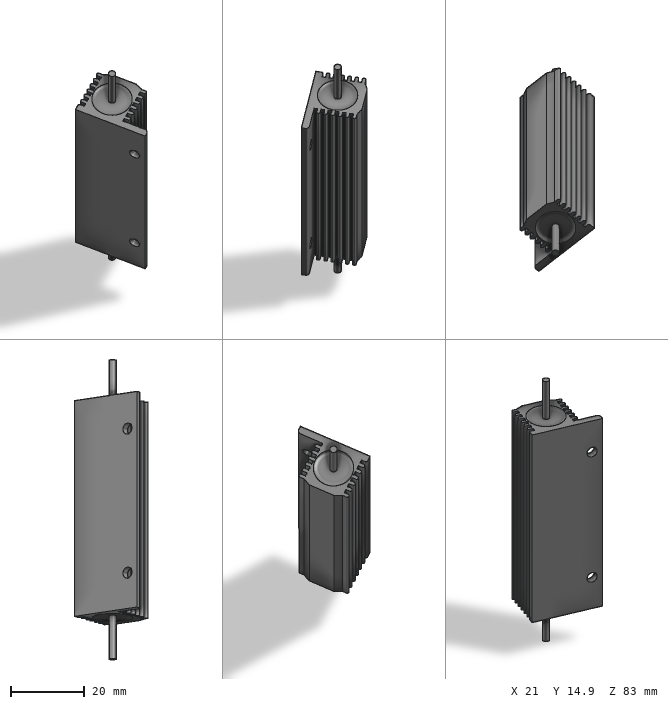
import cadquery as cq
import math

total_length = 83.0
lead_length = 11.5
body_length = total_length - 2 * lead_length
body_width = 14.9
body_depth = 14.9
flange_width = 21.0
flange_thickness = 2.1
left_side = -body_width / 2
mounting_face = -body_depth / 2
back_face = body_depth / 2

core_width = 11.7
fin_pitch = 2.0
fin_thickness = 1.0
fins_below_axis = 2
fins_above_axis = 3
back_flat_width = 7.5
flange_outer_radius = 1.0
flange_inner_radius = 0.5

lead_diameter = 2.0
recess_diameter = 10.95
recess_floor_diameter = 8.3
recess_depth = 0.5
hole_diameter = 3.0
hole_spacing = 40.0
hole_from_left = 17.85


def make_core():
    """Central bar with both back corners sloping down to the top fins."""
    shoulder = fins_above_axis * fin_pitch + fin_thickness / 2
    half_core = core_width / 2
    half_flat = back_flat_width / 2
    outline = [
        (-half_core, mounting_face),
        (half_core, mounting_face),
        (half_core, shoulder),
        (half_flat, back_face),
        (-half_flat, back_face),
        (-half_core, shoulder),
    ]
    core = cq.Workplane("XY").polyline(outline).close()
    return core.extrude(body_length / 2, both=True)


def make_fins():
    """Rows of fins crossing the core, each with fully rounded tips."""
    rows = range(-fins_below_axis, fins_above_axis + 1)
    return (
        cq.Workplane("XY")
        .pushPoints([(0, row * fin_pitch) for row in rows])
        .slot2D(body_width, fin_thickness)
        .extrude(body_length / 2, both=True)
    )


def make_flange():
    """Mounting flange, extended on +X, with rounded edges away from its mounting face."""
    flange = (
        cq.Workplane("XY")
        .box(flange_width, flange_thickness, body_length, centered=(False, False, True))
        .translate((left_side, mounting_face, 0))
    )
    flange = flange.edges("|Z and >X and >Y").fillet(flange_outer_radius)
    return flange.edges("|Z and <X and >Y").fillet(flange_inner_radius)


def make_recess():
    """Shallow dish in the +Z end whose curved wall runs tangent into the flat floor."""
    rim_radius = recess_diameter / 2
    floor_radius = recess_floor_diameter / 2
    end_height = body_length / 2
    floor_height = end_height - recess_depth
    wall_width = rim_radius - floor_radius
    wall_radius = (wall_width**2 + recess_depth**2) / (2 * recess_depth)
    half_sweep = math.asin(wall_width / wall_radius) / 2
    wall_middle = (
        floor_radius + wall_radius * math.sin(half_sweep),
        floor_height + wall_radius * (1 - math.cos(half_sweep)),
    )
    profile = (
        cq.Workplane("XZ")
        .moveTo(0, floor_height)
        .lineTo(floor_radius, floor_height)
        .threePointArc(wall_middle, (rim_radius, end_height))
        .lineTo(0, end_height)
        .close()
    )
    return profile.revolve(360, (0, 0), (0, 1))


def make_mounting_holes():
    """Pair of cylinders crossing the flange along Y."""
    hole_x = left_side + hole_from_left
    return (
        cq.Workplane("XZ", origin=(hole_x, 0, 0))
        .pushPoints([(0, -hole_spacing / 2), (0, hole_spacing / 2)])
        .circle(hole_diameter / 2)
        .extrude(body_depth)
    )


body = make_core().union(make_fins()).union(make_flange())
recess = make_recess()
body = body.cut(recess).cut(recess.mirror("XY")).cut(make_mounting_holes())

lead = cq.Workplane("XY").circle(lead_diameter / 2).extrude(total_length / 2, both=True)
result = body.union(lead)